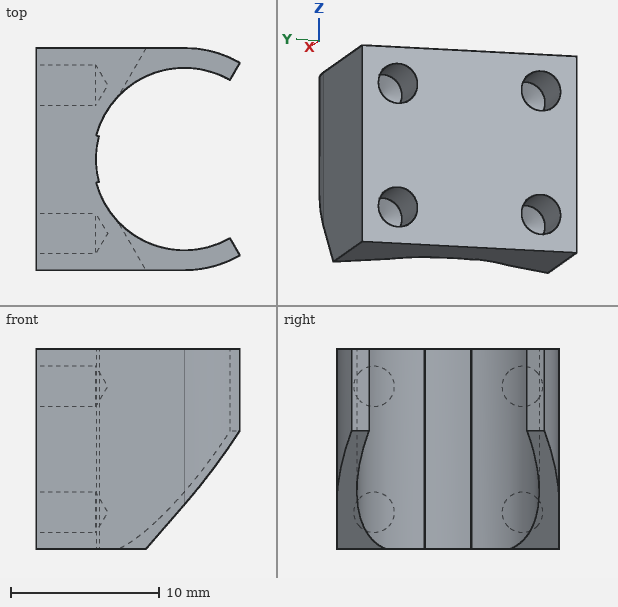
import cadquery as cq
import math

width = 15.0
height = 13.5
outer_radius = width / 2
bore_radius = 6.15
bore_center_x = 10.0
arm_angle = 30.0

pad_radius = 5.95
pad_half_angle = 15.0

relief_height = 8.0
relief_length = 6.0

hole_diameter = 2.73
hole_depth = 4.0
hole_tip_angle = 118.0
hole_inset_z = 2.5
hole_spacing_y = 10.0


def bore_point(radius, angle):
    """Point at a radius from the bore axis; the angle is measured from +X in degrees."""
    turn = math.radians(angle)
    return (bore_center_x + radius * math.cos(turn), radius * math.sin(turn))


def clip_body():
    tip = 90 - arm_angle
    middle = 90 - arm_angle / 2
    pad_edge = 180 - pad_half_angle
    bore_middle = (tip + pad_edge) / 2
    outline = (
        cq.Workplane("XY")
        .moveTo(0, -outer_radius)
        .lineTo(bore_center_x, -outer_radius)
        .threePointArc(bore_point(outer_radius, -middle), bore_point(outer_radius, -tip))
        .lineTo(*bore_point(bore_radius, -tip))
        .threePointArc(bore_point(bore_radius, -bore_middle), bore_point(bore_radius, -pad_edge))
        .lineTo(*bore_point(pad_radius, -pad_edge))
        .threePointArc(bore_point(pad_radius, 180), bore_point(pad_radius, pad_edge))
        .lineTo(*bore_point(bore_radius, pad_edge))
        .threePointArc(bore_point(bore_radius, bore_middle), bore_point(bore_radius, tip))
        .lineTo(*bore_point(outer_radius, tip))
        .threePointArc(bore_point(outer_radius, middle), (bore_center_x, outer_radius))
        .lineTo(0, outer_radius)
        .close()
    )
    return outline.extrude(height)


def arm_relief():
    """Wedge under the +Y arm, swept from the bore axis outwards along the arm's end face."""
    wedge = (
        cq.Workplane("XZ")
        .polyline([(0, 0), (-relief_length, 0), (0, relief_height)])
        .close()
        .extrude(-outer_radius)
    )
    return wedge.rotate((0, 0, 0), (0, 0, 1), -arm_angle).translate((bore_center_x, 0, 0))


def screw_hole(y, z):
    radius = hole_diameter / 2
    tip_length = radius / math.tan(math.radians(hole_tip_angle / 2))
    return (
        cq.Workplane("XY")
        .polyline([(0, 0), (0, radius), (hole_depth, radius), (hole_depth + tip_length, 0)])
        .close()
        .revolve(360, (0, 0, 0), (1, 0, 0))
        .translate((0, y, z))
    )


relief = arm_relief()
result = clip_body().cut(relief).cut(relief.mirror("XZ"))
for hole_y in (-hole_spacing_y / 2, hole_spacing_y / 2):
    for hole_z in (hole_inset_z, height - hole_inset_z):
        result = result.cut(screw_hole(hole_y, hole_z))